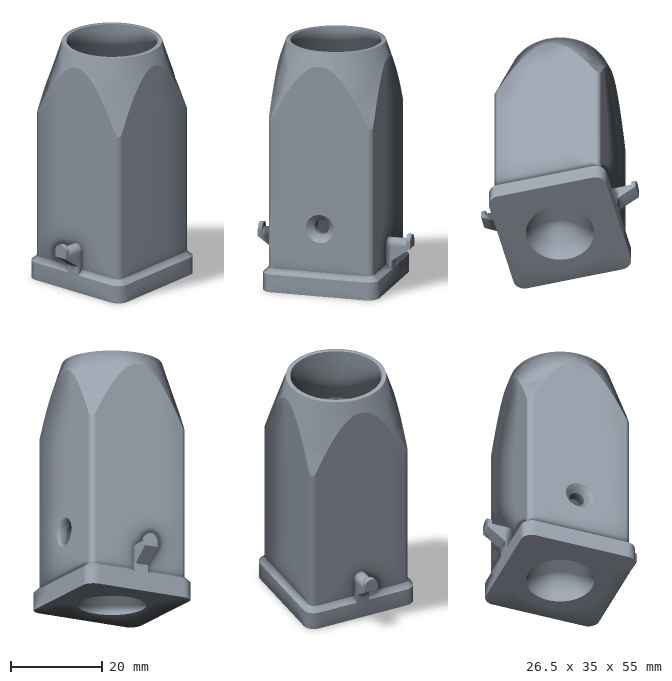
import cadquery as cq

TOTAL_HEIGHT = 55
BODY_WIDTH = 24.0
BODY_CORNER_RADIUS = 1.2

FLANGE_WIDTH = 26.5
FLANGE_SIDE_HEIGHT = 4.05
FLANGE_HEIGHT = 5.15

TOP_RADIUS = 11
CONE_SLOPE = 1 / 3

ENTRY_RADIUS = 10.0
ENTRY_DEPTH = 12.0
THROUGH_RADIUS = 7.5

PEG_SPAN = 35.0
PEG_RADIUS = 1.55
PEG_AXIS_HEIGHT = 9.45
HEAD_THICKNESS = 1.0
HEAD_AXIS_HEIGHT = 10.5
HEAD_BOTTOM = 9.1
GUSSET_FOOT_HEIGHT = 6.05

SCREW_HEIGHT = 15.0
SCREW_RADIUS = 1.65
COUNTERSINK_RADIUS = 3.2
SCREW_HOLE_DEPTH = 3.85

FLANGE_OVERHANG = (FLANGE_WIDTH - BODY_WIDTH) / 2
FLANGE_CORNER_RADIUS = BODY_CORNER_RADIUS + FLANGE_OVERHANG


def rounded_block(width, corner_radius, height):
    """Square block standing on z = 0 with rounded vertical edges."""
    block = cq.Workplane("XY").rect(width, width).extrude(height)
    return block.edges("|Z").fillet(corner_radius)


def make_body():
    """Square body, cut at the top to a cone about the vertical axis."""
    body = rounded_block(BODY_WIDTH, BODY_CORNER_RADIUS, TOTAL_HEIGHT)
    bottom_radius = TOP_RADIUS + CONE_SLOPE * TOTAL_HEIGHT
    cone = cq.Workplane(cq.Solid.makeCone(bottom_radius, TOP_RADIUS, TOTAL_HEIGHT))
    return body.intersect(cone)


def make_flange():
    """Foot flange whose upper edge is bevelled back to the body faces."""
    flange = rounded_block(FLANGE_WIDTH, FLANGE_CORNER_RADIUS, FLANGE_HEIGHT)
    bevel_height = FLANGE_HEIGHT - FLANGE_SIDE_HEIGHT
    return flange.faces(">Z").edges().chamfer(bevel_height, FLANGE_OVERHANG)


def make_peg():
    """Locking peg on the -Y side: round shaft, raised head and sloping gusset."""
    tip = -PEG_SPAN / 2
    head_inner = tip + HEAD_THICKNESS
    root = -ENTRY_RADIUS
    flange_side = -FLANGE_WIDTH / 2

    gusset = (
        cq.Workplane("YZ")
        .moveTo(root, FLANGE_SIDE_HEIGHT)
        .lineTo(flange_side, FLANGE_SIDE_HEIGHT)
        .lineTo(flange_side, GUSSET_FOOT_HEIGHT)
        .lineTo(tip, HEAD_BOTTOM)
        .lineTo(tip, PEG_AXIS_HEIGHT)
        .lineTo(root, PEG_AXIS_HEIGHT)
        .close()
        .extrude(PEG_RADIUS, both=True)
    )
    shaft = (
        cq.Workplane("XZ", origin=(0, root, PEG_AXIS_HEIGHT))
        .circle(PEG_RADIUS)
        .extrude(root - tip)
    )
    shaft_top = shaft.intersect(
        cq.Workplane("XY", origin=(0, 0, PEG_AXIS_HEIGHT))
        .rect(BODY_WIDTH, PEG_SPAN)
        .extrude(PEG_RADIUS)
    )
    head = (
        cq.Workplane("XZ", origin=(0, head_inner, 0))
        .moveTo(-PEG_RADIUS, HEAD_BOTTOM)
        .lineTo(PEG_RADIUS, HEAD_BOTTOM)
        .lineTo(PEG_RADIUS, HEAD_AXIS_HEIGHT)
        .threePointArc((0, HEAD_AXIS_HEIGHT + PEG_RADIUS), (-PEG_RADIUS, HEAD_AXIS_HEIGHT))
        .close()
        .extrude(HEAD_THICKNESS)
    )
    return gusset.union(shaft_top).union(head)


def make_cable_entry():
    """Stepped bore along the vertical axis."""
    through = cq.Workplane("XY").circle(THROUGH_RADIUS).extrude(TOTAL_HEIGHT)
    entry = (
        cq.Workplane("XY", origin=(0, 0, TOTAL_HEIGHT))
        .circle(ENTRY_RADIUS)
        .extrude(-ENTRY_DEPTH)
    )
    return through.union(entry)


def make_screw_hole():
    """Blind hole with a countersunk mouth, turned about its axis along X."""
    mouth = -BODY_WIDTH / 2
    countersink_end = mouth + COUNTERSINK_RADIUS - SCREW_RADIUS
    floor = mouth + SCREW_HOLE_DEPTH
    return (
        cq.Workplane("XY", origin=(0, 0, SCREW_HEIGHT))
        .moveTo(mouth, 0)
        .lineTo(mouth, COUNTERSINK_RADIUS)
        .lineTo(countersink_end, SCREW_RADIUS)
        .lineTo(floor, SCREW_RADIUS)
        .lineTo(floor, 0)
        .close()
        .revolve(360, (0, 0, 0), (1, 0, 0))
    )


peg = make_peg()
result = (
    make_body()
    .union(make_flange())
    .union(peg)
    .union(peg.mirror("XZ"))
    .cut(make_cable_entry())
    .cut(make_screw_hole())
)